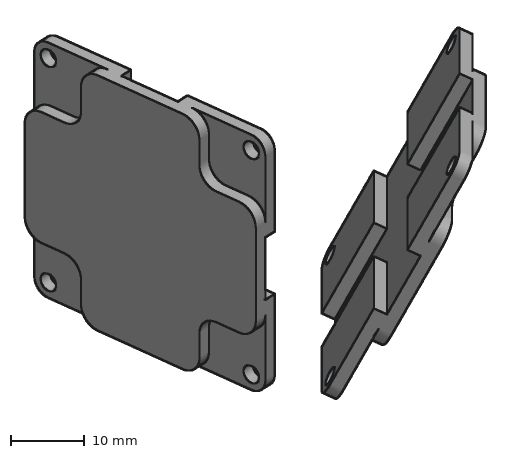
import cadquery as cq

side = 41.0
plate_thickness = 2.0
cross_thickness = 2.0
plate_corner_radius = 2.5

corner_relief = 10.0
arm_width = side - 2 * corner_relief
cross_radius = 3.0

hole_diameter = 2.7
hole_spacing = 36.0

channel_width = 10.0


def plate():
    """Square plate with rounded corners, from Y = 0 to +plate_thickness."""
    block = cq.Workplane("XY").box(side, plate_thickness, side)
    block = block.edges("|Y").fillet(plate_corner_radius)
    return block.translate((0, plate_thickness / 2, 0))


def cross():
    """Rounded cross, from Y = -cross_thickness to 0."""
    upright = cq.Workplane("XY").box(arm_width, cross_thickness, side)
    crossbar = cq.Workplane("XY").box(side, cross_thickness, arm_width)
    body = upright.union(crossbar).edges("|Y").fillet(cross_radius)
    return body.translate((0, -cross_thickness / 2, 0))


def channels():
    """Two full-length channels crossing at the centre of the plate."""
    along_z = cq.Workplane("XY").box(channel_width, plate_thickness, side)
    along_x = cq.Workplane("XY").box(side, plate_thickness, channel_width)
    return along_z.union(along_x).translate((0, plate_thickness / 2, 0))


def corner_holes():
    """Screw holes through the plate at its four corners."""
    return (
        cq.Workplane("XZ")
        .rect(hole_spacing, hole_spacing, forConstruction=True)
        .vertices()
        .circle(hole_diameter / 2)
        .extrude(-plate_thickness)
    )


result = plate().cut(channels()).union(cross()).cut(corner_holes())